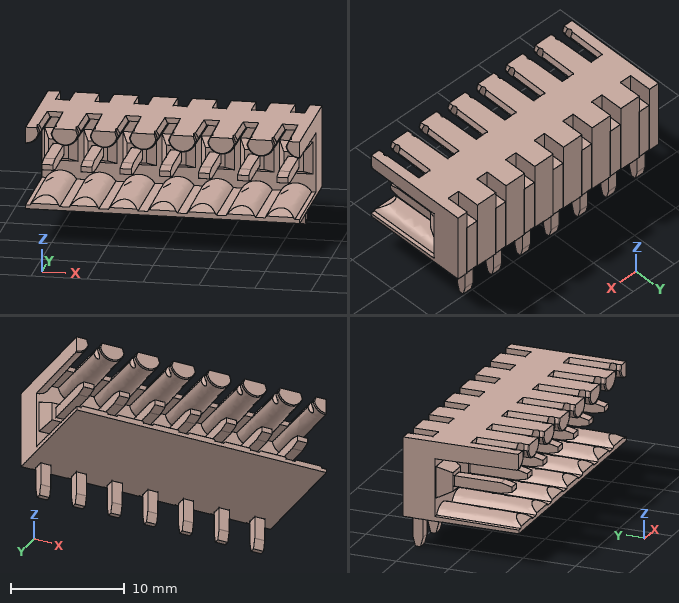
import cadquery as cq


PIN_COUNT = 7
PITCH = 3.5
LENGTH = PIN_COUNT * PITCH
PIN_X = [(i - (PIN_COUNT - 1) / 2) * PITCH for i in range(PIN_COUNT)]
LOBE_X = [(i - PIN_COUNT / 2) * PITCH for i in range(PIN_COUNT + 1)]

HEIGHT = 7.5
DEPTH = 11.05
WALL_DEPTH = 3.05
WALL_Y = -WALL_DEPTH
FRONT_Y = -DEPTH

WEB_THICKNESS = 0.5
WEB_Z = HEIGHT - WEB_THICKNESS
SHELF_SETBACK = 0.05
SHELF_FRONT_Y = FRONT_Y + SHELF_SETBACK
LOBE_ROOT_HALF = 1.34
LOBE_ROOT_DROP = 1.61
LOBE_TIP_HALF = 1.23
LOBE_TIP_DROP = 1.52
LOBE_CHAMFER_Y = 0.12
LOBE_CHAMFER_SIDE = 0.08
LOBE_CHAMFER_BOTTOM = 0.08
LOBE_END_Y = SHELF_FRONT_Y + LOBE_CHAMFER_Y

SLOT_ROOT_Y = -6.05
SLOT_ROOT_TOP_HALF = 0.69
SLOT_TIP_TOP_HALF = 0.76
RELIEF_WIDTH = 1.72
RELIEF_LENGTH = 0.68
RELIEF_SETBACK = 0.83
RELIEF_Y = FRONT_Y + RELIEF_SETBACK

FLOOR_ROOT_Z = 0.45
FLOOR_TIP_Z = 0.37
RIB_ROOT_HALF = 1.37
RIB_ROOT_CREST_Z = 1.2
RIB_TIP_HALF = 1.33
RIB_TIP_CREST_Z = 1.09
RIB_BEVEL_LENGTH = 0.88
RIB_FRONT_Z = 0.54

COLLAR_BASE = 2.97
COLLAR_AXIS_Z = 3.58
COLLAR_TOP = 1.75
COLLAR_HEIGHT = 1.35

NOTCH_WIDTH = 1.25
NOTCH_REACH = 2.4
NOTCH_DEPTH = 2.0
CHANNEL_DEPTH = 0.06

PIN_SIZE = 1.0
PIN_AXIS_Z = 3.55
PIN_TIP_Y = -9.87
PIN_TAPER = 1.04
PIN_TIP_SIZE = 0.5
TAIL_AXIS_Y = -0.9
TAIL_TIP_Z = -3.15
TAIL_TAPER = 0.95


def xz_plane(y):
    """Plane at depth y whose local axes are the global X and Z."""
    return cq.Workplane(cq.Plane(origin=(0, y, 0), xDir=(1, 0, 0), normal=(0, -1, 0)))


def block(x_min, x_max, y_min, y_max, z_min, z_max):
    """Box given by its limits."""
    size = (x_max - x_min, y_max - y_min, z_max - z_min)
    return cq.Workplane("XY").box(*size, centered=False).translate((x_min, y_min, z_min))


def between(wires):
    """Solid with straight sides through a sequence of section wires."""
    return cq.Workplane(obj=cq.Solid.makeLoft(wires, True))


def lobe_section(y, half_width, drop):
    """Round-bottomed lobe section: flat top at the web, arc below it."""
    return (
        xz_plane(y)
        .moveTo(-half_width, WEB_Z)
        .threePointArc((0, HEIGHT - drop), (half_width, WEB_Z))
        .close()
        .val()
    )


def slot_section(y, top_half, bottom_half):
    """Slot section, narrowing from the housing top to the web underside."""
    corners = [(-top_half, HEIGHT), (top_half, HEIGHT), (bottom_half, WEB_Z), (-bottom_half, WEB_Z)]
    return xz_plane(y).polyline(corners).close().val()


def rib_section(y, half_width, floor_z, crest_z):
    """Arched rib section standing on the housing bottom."""
    return (
        xz_plane(y)
        .moveTo(-half_width, 0)
        .lineTo(-half_width, floor_z)
        .threePointArc((0, crest_z), (half_width, floor_z))
        .lineTo(half_width, 0)
        .close()
        .val()
    )


def make_lobe():
    """Tapered lobe with a small chamfer around its front end."""
    tip = lobe_section(LOBE_END_Y, LOBE_TIP_HALF, LOBE_TIP_DROP)
    nose = lobe_section(
        SHELF_FRONT_Y, LOBE_TIP_HALF - LOBE_CHAMFER_SIDE, LOBE_TIP_DROP - LOBE_CHAMFER_BOTTOM
    )
    return between([lobe_section(WALL_Y, LOBE_ROOT_HALF, LOBE_ROOT_DROP), tip, nose])


def make_slot():
    """Slot whose lower edges follow the sides of the two neighbouring lobes."""
    root_share = (SLOT_ROOT_Y - WALL_Y) / (LOBE_END_Y - WALL_Y)
    lobe_half_at_root = LOBE_ROOT_HALF + root_share * (LOBE_TIP_HALF - LOBE_ROOT_HALF)
    tip_half = PITCH / 2 - LOBE_TIP_HALF
    sections = [
        slot_section(SLOT_ROOT_Y, SLOT_ROOT_TOP_HALF, PITCH / 2 - lobe_half_at_root),
        slot_section(LOBE_END_Y, SLOT_TIP_TOP_HALF, tip_half),
        slot_section(SHELF_FRONT_Y, SLOT_TIP_TOP_HALF, tip_half + LOBE_CHAMFER_SIDE),
    ]
    return between(sections)


def make_relief():
    """Upright round-ended relief that widens the slot just behind its mouth."""
    return (
        cq.Workplane("XY")
        .slot2D(RELIEF_WIDTH, RELIEF_LENGTH)
        .extrude(LOBE_ROOT_DROP)
        .translate((0, RELIEF_Y, HEIGHT - LOBE_ROOT_DROP))
    )


def make_rib():
    """Tapered rib with its front end bevelled down to the shelf."""
    rib = between(
        [
            rib_section(WALL_Y, RIB_ROOT_HALF, FLOOR_ROOT_Z, RIB_ROOT_CREST_Z),
            rib_section(FRONT_Y, RIB_TIP_HALF, FLOOR_TIP_Z, RIB_TIP_CREST_Z),
        ]
    )
    bevel_share = RIB_BEVEL_LENGTH / (WALL_Y - FRONT_Y)
    bevel_crest_z = RIB_TIP_CREST_Z + bevel_share * (RIB_ROOT_CREST_Z - RIB_TIP_CREST_Z)
    bevel_corners = [
        (FRONT_Y, RIB_FRONT_Z),
        (FRONT_Y + RIB_BEVEL_LENGTH, bevel_crest_z),
        (FRONT_Y + RIB_BEVEL_LENGTH, RIB_ROOT_CREST_Z),
        (FRONT_Y, RIB_ROOT_CREST_Z),
    ]
    bevel = cq.Workplane("YZ").polyline(bevel_corners).close().extrude(RIB_ROOT_HALF, both=True)
    return rib.cut(bevel)


def make_collar():
    """Square pyramid collar on the front of the wall."""
    base = xz_plane(WALL_Y).center(0, COLLAR_AXIS_Z).rect(COLLAR_BASE, COLLAR_BASE)
    return base.workplane(offset=COLLAR_HEIGHT).rect(COLLAR_TOP, COLLAR_TOP).loft(ruled=True)


def make_notch():
    """Notch in the top of the wall, with a shallow channel down the back."""
    half = NOTCH_WIDTH / 2
    notch = block(-half, half, -NOTCH_REACH, 0, HEIGHT - NOTCH_DEPTH, HEIGHT)
    return notch.union(block(-half, half, -CHANNEL_DEPTH, 0, 0, HEIGHT))


def make_pin():
    """Right-angle square pin: a mating blade to the front and a tail going down."""
    half = PIN_SIZE / 2
    tip_half = PIN_TIP_SIZE / 2
    outline = [
        (TAIL_AXIS_Y + half, PIN_AXIS_Z + half),
        (PIN_TIP_Y + PIN_TAPER, PIN_AXIS_Z + half),
        (PIN_TIP_Y, PIN_AXIS_Z + tip_half),
        (PIN_TIP_Y, PIN_AXIS_Z - tip_half),
        (PIN_TIP_Y + PIN_TAPER, PIN_AXIS_Z - half),
        (TAIL_AXIS_Y - half, PIN_AXIS_Z - half),
        (TAIL_AXIS_Y - half, TAIL_TIP_Z + TAIL_TAPER),
        (TAIL_AXIS_Y - tip_half, TAIL_TIP_Z),
        (TAIL_AXIS_Y + tip_half, TAIL_TIP_Z),
        (TAIL_AXIS_Y + half, TAIL_TIP_Z + TAIL_TAPER),
    ]
    return cq.Workplane("YZ").polyline(outline).close().extrude(half, both=True)


def make_shell():
    """Wall, upper web and sloping lower shelf, along the whole row."""
    profile = [
        (0, 0),
        (FRONT_Y, 0),
        (FRONT_Y, FLOOR_TIP_Z),
        (WALL_Y, FLOOR_ROOT_Z),
        (WALL_Y, WEB_Z),
        (SHELF_FRONT_Y, WEB_Z),
        (SHELF_FRONT_Y, HEIGHT),
        (0, HEIGHT),
    ]
    return cq.Workplane("YZ").polyline(profile).close().extrude(LENGTH / 2, both=True)


def copies(body, x_places):
    """Copies of one body, moved along the row."""
    return [body.translate((x, 0, 0)).val() for x in x_places]


def make_housing(pins):
    """Housing with everything that repeats at the pin pitch."""
    envelope = block(-LENGTH / 2, LENGTH / 2, FRONT_Y, 0, 0, HEIGHT).val()
    lobes = [lobe.intersect(envelope) for lobe in copies(make_lobe(), LOBE_X)]
    ribs = copies(make_rib(), PIN_X)
    collars = copies(make_collar(), PIN_X)
    shell = make_shell().val().fuse(*lobes, *ribs, *collars)

    slots = copies(make_slot(), PIN_X)
    reliefs = copies(make_relief(), PIN_X)
    notches = copies(make_notch(), PIN_X)
    return shell.cut(*slots, *reliefs, *notches, *pins).clean()


pins = copies(make_pin(), PIN_X)
housing = make_housing(pins)

result = cq.Compound.makeCompound([*housing.Solids(), *pins])